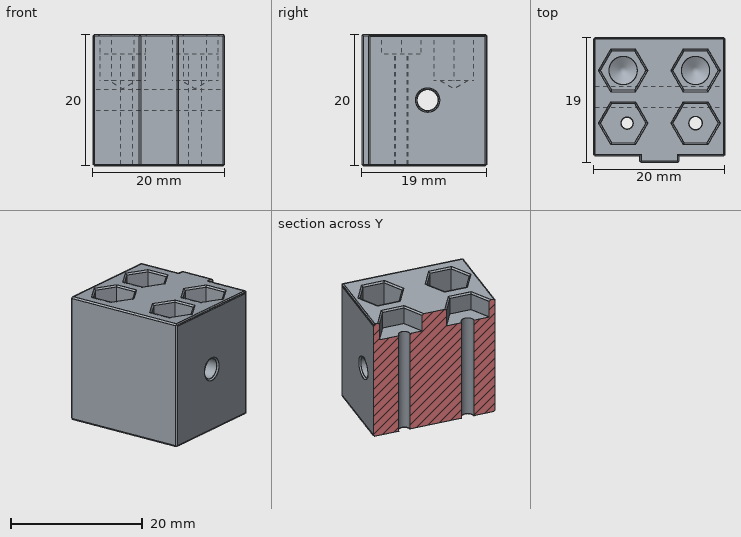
import cadquery as cq
import math

block_width = 20.0
block_depth = 18.0
block_height = 20.0
rib_width = 6.0
rib_projection = 1.0
edge_chamfer = 0.25
side_easing = 0.1

hexagon_sides = 6
socket_flats = 6.0
socket_chamfer = 0.25
socket_offset_x = 5.5
socket_offset_y = 4.0
front_socket_depth = 3.0
rear_socket_depth = 7.0

front_left_hole_diameter = 1.8
front_left_hole_x = -4.9
front_right_hole_diameter = 2.0

cone_diameter = 4.3
cone_angle = 118.0

bore_diameter = 3.2
bore_chamfer = 0.25

match_tolerance = 1e-6
top_z = block_height / 2
front_y = -block_depth / 2


def make_body():
    block = cq.Workplane("XY").box(block_width, block_depth, block_height)
    rib_length = block_depth / 2 + rib_projection
    rib = cq.Workplane("XY").box(rib_width, rib_length, block_height)
    rib = rib.translate((0, -rib_length / 2, 0))
    body = block.union(rib)
    upright_edges_chamfered = body.edges("|Z").filter(is_outer_corner).chamfer(edge_chamfer)
    ends_chamfered = body.faces("|Z").edges().chamfer(edge_chamfer)
    ends_chamfered = ends_chamfered.edges("|Y").filter(is_eased_edge).chamfer(side_easing)
    return ends_chamfered.intersect(upright_edges_chamfered)


def is_eased_edge(edge):
    """Select the lower edges of the top chamfers on the two X sides."""
    center = edge.Center()
    on_side = math.isclose(abs(center.x), block_width / 2, abs_tol=match_tolerance)
    on_chamfer = math.isclose(center.z, top_z - edge_chamfer, abs_tol=match_tolerance)
    return on_side and on_chamfer


def is_outer_corner(edge):
    """Exclude the two inside corners where the rib meets the block."""
    center = edge.Center()
    on_front = math.isclose(center.y, front_y, abs_tol=match_tolerance)
    on_rib_side = math.isclose(abs(center.x), rib_width / 2, abs_tol=match_tolerance)
    return not (on_front and on_rib_side)


def hexagon_across_corners(flats):
    return flats / math.cos(math.pi / hexagon_sides)


def make_socket(x, y, depth):
    """Hexagonal pocket with a chamfered mouth."""
    corners = hexagon_across_corners(socket_flats)
    mouth_corners = hexagon_across_corners(socket_flats + 2 * socket_chamfer)
    pocket = (
        cq.Workplane("XY", origin=(x, y, top_z - depth))
        .polygon(hexagon_sides, corners)
        .extrude(depth)
    )
    mouth = (
        cq.Workplane("XY", origin=(x, y, top_z - socket_chamfer))
        .polygon(hexagon_sides, corners)
        .workplane(offset=socket_chamfer)
        .polygon(hexagon_sides, mouth_corners)
        .loft(ruled=True)
    )
    return pocket.union(mouth)


def make_through_hole(x, y, diameter):
    return (
        cq.Workplane("XY", origin=(x, y, -top_z))
        .circle(diameter / 2)
        .extrude(block_height)
    )


def make_cone(x, y):
    """Cone pointing down from the floor of a rear socket."""
    radius = cone_diameter / 2
    height = radius / math.tan(math.radians(cone_angle / 2))
    base = cq.Vector(x, y, top_z - rear_socket_depth)
    return cq.Workplane(cq.Solid.makeCone(radius, 0, height, base, cq.Vector(0, 0, -1)))


def make_cross_bore():
    """Bore along X, chamfered at both ends."""
    radius = bore_diameter / 2
    half_width = block_width / 2
    bore = cq.Workplane("YZ").circle(radius).extrude(half_width, both=True)
    for side in (-1, 1):
        mouth = cq.Solid.makeCone(
            radius + bore_chamfer,
            radius,
            bore_chamfer,
            cq.Vector(side * half_width, 0, 0),
            cq.Vector(-side, 0, 0),
        )
        bore = bore.union(cq.Workplane(mouth))
    return bore


result = make_body()

for socket_x in (-socket_offset_x, socket_offset_x):
    result = result.cut(make_socket(socket_x, -socket_offset_y, front_socket_depth))
    result = result.cut(make_socket(socket_x, socket_offset_y, rear_socket_depth))
    result = result.cut(make_cone(socket_x, socket_offset_y))

result = result.cut(make_through_hole(front_left_hole_x, -socket_offset_y, front_left_hole_diameter))
result = result.cut(make_through_hole(socket_offset_x, -socket_offset_y, front_right_hole_diameter))
result = result.cut(make_cross_bore())